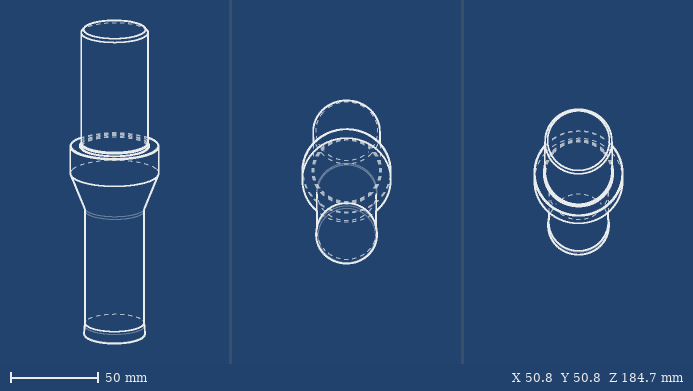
import cadquery as cq
import math

total_height = 184.7
collar_top = 114.9
collar_height = 16.5
cone_bottom = 77.0
head_top = 8.7
land_top = 7.2
land_bottom = 2.4

shank_radius = 19.2
collar_radius = 25.39
neck_radius = 17.0
land_top_radius = 17.2
land_bottom_radius = 17.5

shank_chamfer_width = 1.5
shank_chamfer_height = 1.8
collar_chamfer = 0.4
neck_fillet = 4.6
head_edge_radius = 1.1

relief_radius = 18.8
relief_height = 1.1
relief_chamfer_height = 1.0
recess_radius = 20.0
recess_depth = 0.5


def revolve_about_z(half_profile):
    """Turn a closed half profile, drawn in the XZ plane, about the Z axis."""
    return half_profile.revolve(360, (0, 0, 0), (0, 1, 0))


def make_holder():
    """Shank, relief groove, collar, cone and neck as one turned body."""
    collar_bottom = collar_top - collar_height
    relief_top = collar_top + relief_height
    recess_floor = collar_top - recess_depth

    cone_angle = math.atan((collar_radius - neck_radius) / (collar_bottom - cone_bottom))
    tangent_length = neck_fillet * math.tan(cone_angle / 2)
    fillet_bottom = cone_bottom - tangent_length
    fillet_start = (
        neck_radius + tangent_length * math.sin(cone_angle),
        cone_bottom + tangent_length * math.cos(cone_angle),
    )
    fillet_middle = (
        neck_radius + neck_fillet * (1 - math.cos(cone_angle / 2)),
        fillet_bottom + neck_fillet * math.sin(cone_angle / 2),
    )

    half_profile = (
        cq.Workplane("XZ")
        .moveTo(0, total_height)
        .lineTo(shank_radius - shank_chamfer_width, total_height)
        .lineTo(shank_radius, total_height - shank_chamfer_height)
        .lineTo(shank_radius, relief_top + relief_chamfer_height)
        .lineTo(relief_radius, relief_top)
        .lineTo(relief_radius, recess_floor)
        .lineTo(recess_radius - recess_depth, recess_floor)
        .lineTo(recess_radius, collar_top)
        .lineTo(collar_radius - collar_chamfer, collar_top)
        .lineTo(collar_radius, collar_top - collar_chamfer)
        .lineTo(collar_radius, collar_bottom)
        .lineTo(*fillet_start)
        .threePointArc(fillet_middle, (neck_radius, fillet_bottom))
        .lineTo(neck_radius, head_top)
        .lineTo(0, head_top)
        .close()
    )
    return revolve_about_z(half_profile)


def make_head():
    """Head with a flared top, a land that widens downwards, a rounded edge and a domed end."""
    dome_rim_radius = land_bottom_radius - head_edge_radius
    dome_height = land_bottom - head_edge_radius
    edge_offset = head_edge_radius * math.sqrt(0.5)
    edge_middle = (dome_rim_radius + edge_offset, land_bottom - edge_offset)

    sphere_radius = (dome_rim_radius**2 + dome_height**2) / (2 * dome_height)
    half_angle = math.asin(dome_rim_radius / sphere_radius) / 2
    dome_middle = (
        sphere_radius * math.sin(half_angle),
        sphere_radius * (1 - math.cos(half_angle)),
    )

    half_profile = (
        cq.Workplane("XZ")
        .moveTo(0, head_top)
        .lineTo(neck_radius, head_top)
        .lineTo(land_top_radius, land_top)
        .lineTo(land_bottom_radius, land_bottom)
        .threePointArc(edge_middle, (dome_rim_radius, dome_height))
        .threePointArc(dome_middle, (0, 0))
        .close()
    )
    return revolve_about_z(half_profile)


holder = make_holder()
head = make_head()

result = cq.Compound.makeCompound([holder.val(), head.val()])